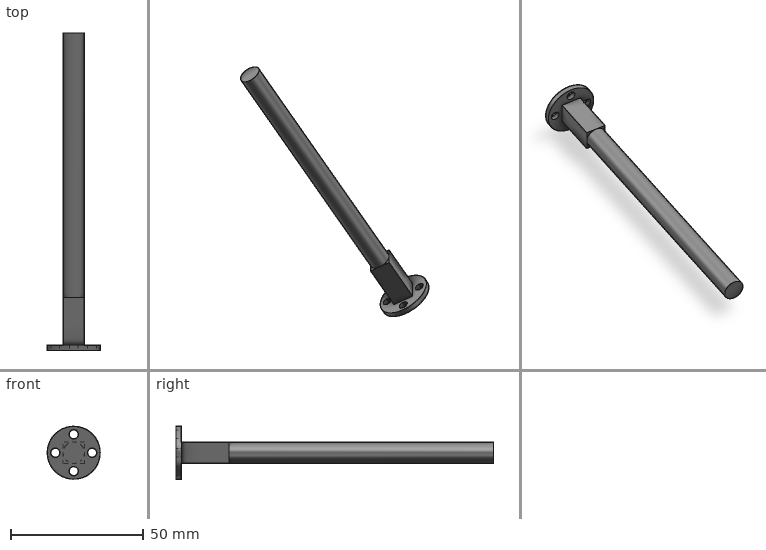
import cadquery as cq

total_length = 120.0
flange_diameter = 20.0
flange_thickness = 2.0
neck_end = 20.0
rod_diameter = 8.0
neck_width = rod_diameter

hole_diameter = 3.4
hole_circle_radius = 7.0
hole_count = 4


def section_plane(distance):
    """Plane facing +Y at the given distance from the flange's outer face."""
    return cq.Workplane(cq.Plane(origin=(0, distance, 0), xDir=(1, 0, 0), normal=(0, 1, 0)))


def make_flange():
    disc = section_plane(0).circle(flange_diameter / 2).extrude(flange_thickness)
    holes = (
        section_plane(0)
        .polarArray(hole_circle_radius, 0, 360, hole_count)
        .circle(hole_diameter / 2)
        .extrude(flange_thickness)
    )
    return disc.cut(holes)


def make_neck():
    neck_length = neck_end - flange_thickness
    return section_plane(flange_thickness).rect(neck_width, neck_width).extrude(neck_length)


def make_rod():
    rod_length = total_length - neck_end
    return section_plane(neck_end).circle(rod_diameter / 2).extrude(rod_length)


result = make_flange().union(make_neck()).union(make_rod())